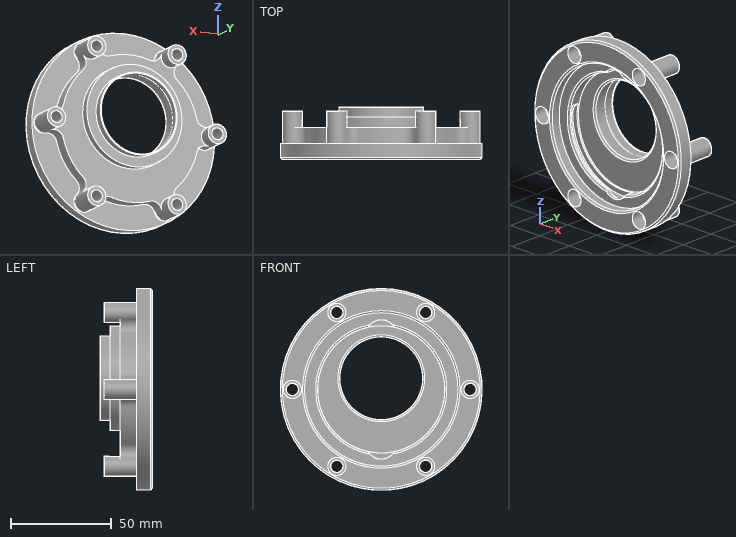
import cadquery as cq
import math


flange_diameter = 100.0
flange_thickness = 8.0
edge_chamfer = 1.0

post_count = 6
post_circle_radius = 44.0
post_diameter = 10.0
post_end = 24.0
screw_hole_diameter = 6.0
counterbore_diameter = 9.0
counterbore_depth = flange_thickness

body_diameter = 75.0
body_end = 16.0
blend_radius = 5.0

eccentricity = 5.5
step_diameter = 52.0
step_end = 21.0
collar_diameter = 42.0
collar_end = 26.0
bore_diameter = 41.0

outer_recess_diameter = 76.0
outer_recess_depth = 6.0
inner_recess_diameter = 63.0
inner_recess_floor = 13.0

notch_count = 2
notch_radius = 7.5
notch_reach = 34.5
groove_start = 8.0
groove_end = 12.0
groove_sweep = 90.0

AXIS = cq.Vector(0, 1, 0)


def cylinder(diameter, start, end, x=0.0, z=0.0):
    """Cylinder along Y from start to end, centred on (x, z)."""
    solid = cq.Solid.makeCylinder(diameter / 2, end - start, cq.Vector(x, start, z), AXIS)
    return cq.Workplane("XY").newObject([solid])


def chamfered_bore(diameter, start, end, z=0.0):
    """Cutter for a bore whose mouth at y = start is chamfered."""
    radius = diameter / 2
    mouth = cq.Solid.makeCone(
        radius + edge_chamfer, radius, edge_chamfer, cq.Vector(0, start, z), AXIS
    )
    return cylinder(diameter, start, end, z=z).union(cq.Workplane("XY").newObject([mouth]))


def turn(shape, angle):
    """Turn a shape about the part axis."""
    return shape.rotate((0, 0, 0), (0, 1, 0), angle)


def prism(outline, start, end):
    """Extrude an outline drawn on the XZ plane from y = start to y = end."""
    return outline.extrude(start - end).translate((0, start, 0))


def make_flange():
    return cylinder(flange_diameter, 0, flange_thickness).faces("<Y").chamfer(edge_chamfer)


def make_post_web():
    """Web from the body to the post on +X, with a concave blend arc on either side."""
    body_radius = body_diameter / 2
    post_radius = post_diameter / 2

    body_to_blend = body_radius + blend_radius
    post_to_blend = post_radius + blend_radius
    cosine = (body_to_blend**2 + post_circle_radius**2 - post_to_blend**2) / (
        2 * body_to_blend * post_circle_radius
    )
    blend_angle = math.acos(cosine)
    blend_x = body_to_blend * math.cos(blend_angle)
    blend_z = body_to_blend * math.sin(blend_angle)

    body_x = body_radius * math.cos(blend_angle)
    body_z = body_radius * math.sin(blend_angle)
    post_x = post_circle_radius + (blend_x - post_circle_radius) * post_radius / post_to_blend
    post_z = blend_z * post_radius / post_to_blend

    bisector = math.atan2(
        (body_z + post_z) / 2 - blend_z,
        (body_x + post_x) / 2 - blend_x,
    )
    middle_x = blend_x + blend_radius * math.cos(bisector)
    middle_z = blend_z + blend_radius * math.sin(bisector)

    outline = (
        cq.Workplane("XZ")
        .moveTo(0, 0)
        .lineTo(body_x, body_z)
        .threePointArc((middle_x, middle_z), (post_x, post_z))
        .lineTo(post_x, -post_z)
        .threePointArc((middle_x, -middle_z), (body_x, -body_z))
        .close()
    )
    return prism(outline, flange_thickness, body_end)


def make_body():
    body = cylinder(body_diameter, 0, body_end)
    post = cylinder(post_diameter, 0, post_end, x=post_circle_radius)
    post_with_web = post.union(make_post_web())
    for index in range(post_count):
        body = body.union(turn(post_with_web, index * 360 / post_count))
    step = cylinder(step_diameter, body_end, step_end, z=eccentricity)
    collar = cylinder(collar_diameter, step_end, collar_end, z=eccentricity)
    return body.union(step).union(collar)


def cut_recesses(part):
    outer = chamfered_bore(outer_recess_diameter, 0, outer_recess_depth)
    inner = chamfered_bore(inner_recess_diameter, outer_recess_depth, inner_recess_floor)
    bore = chamfered_bore(bore_diameter, inner_recess_floor, collar_end, z=eccentricity)
    return part.cut(outer).cut(inner).cut(bore)


def cut_screw_holes(part):
    hole = cylinder(screw_hole_diameter, 0, post_end, x=post_circle_radius)
    head = cylinder(counterbore_diameter, 0, counterbore_depth, x=post_circle_radius)
    cutter = hole.union(head)
    for index in range(post_count):
        part = part.cut(turn(cutter, index * 360 / post_count))
    return part


def make_bayonet_cutter():
    """Entry notch at the top and the groove that runs from it toward +X."""
    notch_centre = notch_reach - notch_radius
    entry = cylinder(2 * notch_radius, outer_recess_depth, groove_end, z=notch_centre)
    stop = turn(cylinder(2 * notch_radius, groove_start, groove_end, z=notch_centre), groove_sweep)

    sweep = math.radians(groove_sweep)
    outline = (
        cq.Workplane("XZ")
        .moveTo(0, 0)
        .lineTo(0, notch_reach)
        .threePointArc(
            (notch_reach * math.sin(sweep / 2), notch_reach * math.cos(sweep / 2)),
            (notch_reach * math.sin(sweep), notch_reach * math.cos(sweep)),
        )
        .close()
    )
    groove = prism(outline, groove_start, groove_end)
    return entry.union(stop).union(groove)


def cut_bayonet(part):
    cutter = make_bayonet_cutter()
    for index in range(notch_count):
        part = part.cut(turn(cutter, index * 360 / notch_count))
    return part


result = make_flange().union(make_body())
result = cut_recesses(result)
result = cut_screw_holes(result)
result = cut_bayonet(result)